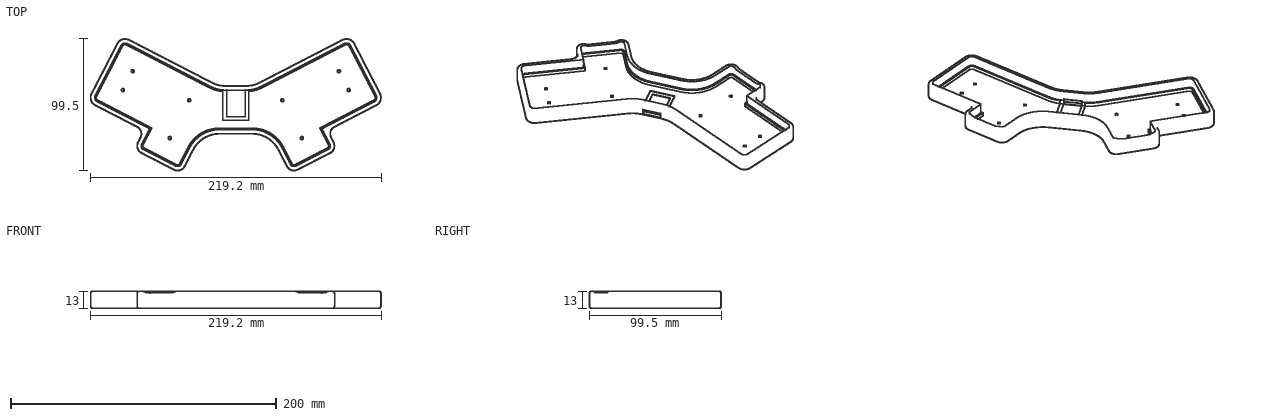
import cadquery as cq
import math

height = 13.0
wall = 3.2
floor_thickness = 2.5
shelf_width = 1.1
shelf_height = 2.7
outer_edge_round = 1.7

wing_tilt = 27.3
cell = 16.0
wing_columns = 5
wing_rows = 3
thumb_first_column = 3
margin = 3.83
grid_u = -96.75
grid_v = 2.76

neck_back_y = 14.18
neck_front_y = -22.04
neck_round = 22.0
corner_round = 6.6
thumb_round = 6.0

hole_diameter = 2.0
hole_crossings = [(1, 1), (1, 2), (4, 1), (4, 3)]

bay_width = 14.0
bay_front_y = -9.2
bay_depth = 1.0
ledge = 2.65
ledge_depth = 0.5
opening_width = 14.0
opening_base = 2.0
opening_top = 6.0

dip_depth = 1.35
dip_flat_half = 9.0
dip_half = 15.5

tilt = math.radians(wing_tilt)
overshoot = 1.0
touch_tolerance = 0.01


def wing_to_part(u, v):
    """Left-wing (u, v) as part (x, y)."""
    x = u * math.cos(tilt) + v * math.sin(tilt)
    y = v * math.cos(tilt) - u * math.sin(tilt)
    return x, y


def mirrored(points):
    return [(-x, y) for x, y in reversed(points)]


def round_corners(prism, corners, radius, mid_z):
    """Round the upright edges at the given corners and at their mirror images."""
    if radius == 0:
        return prism
    for x, y in corners + mirrored(corners):
        nearest = cq.selectors.NearestToPointSelector((x, y, mid_z))
        prism = prism.edges(nearest).fillet(radius)
    return prism


def outline(inset, notch_round, base, top):
    """Prism of the two-wing outline, moved inwards by inset, with its corners rounded."""
    left = grid_u - margin + inset
    right = grid_u + wing_columns * cell + margin - inset
    thumb_left = grid_u + thumb_first_column * cell - margin + inset
    upper = grid_v + margin - inset
    lower = grid_v - wing_rows * cell - margin + inset
    thumb_lower = lower - cell
    back_y = neck_back_y - inset
    front_y = neck_front_y + inset

    outer_corners = [wing_to_part(left, upper), wing_to_part(left, lower)]
    notch = wing_to_part(thumb_left, lower)
    thumb_corners = [wing_to_part(thumb_left, thumb_lower), wing_to_part(right, thumb_lower)]
    back_u = (upper * math.cos(tilt) - back_y) / math.sin(tilt)
    back = wing_to_part(back_u, upper)
    front_v = (front_y + right * math.sin(tilt)) / math.cos(tilt)
    front = wing_to_part(right, front_v)

    half = [back] + outer_corners + [notch] + thumb_corners + [front]
    prism = cq.Workplane("XY").workplane(offset=base)
    prism = prism.polyline(half + mirrored(half)).close().extrude(top - base)

    mid_z = (base + top) / 2
    prism = round_corners(prism, outer_corners, corner_round - inset, mid_z)
    prism = round_corners(prism, thumb_corners, thumb_round - inset, mid_z)
    prism = round_corners(prism, [notch], notch_round, mid_z)
    return round_corners(prism, [back, front], neck_round + inset, mid_z)


def dip_cutter():
    """Shallow trough with S-shaped ends, across the left wing's thumb wall."""
    mid_u = grid_u + (thumb_first_column + wing_columns) * cell / 2
    edge_v = grid_v - (wing_rows + 1) * cell - margin
    bottom = height - dip_depth
    bend_u = (dip_flat_half + dip_half) / 2
    bend_z = height - dip_depth / 2
    trough = (
        cq.Workplane("XZ")
        .moveTo(-dip_half - overshoot, height)
        .lineTo(-dip_half, height)
        .tangentArcPoint((-bend_u, bend_z), relative=False)
        .tangentArcPoint((-dip_flat_half, bottom), relative=False)
        .lineTo(dip_flat_half, bottom)
        .tangentArcPoint((bend_u, bend_z), relative=False)
        .tangentArcPoint((dip_half, height), relative=False)
        .lineTo(dip_half + overshoot, height)
        .lineTo(dip_half + overshoot, height + overshoot)
        .lineTo(-dip_half - overshoot, height + overshoot)
        .close()
        .extrude(-(wall + 2 * overshoot))
    )
    x, y = wing_to_part(mid_u, edge_v - overshoot)
    return trough.rotate((0, 0, 0), (0, 0, 1), -wing_tilt).translate((x, y, 0))


def both_wings(shape):
    return shape.union(shape.mirror("YZ"))


def tray():
    """Open tray with a shelf around its floor, dipped thumb rims and rounded outer edges."""
    shelf_z = floor_thickness + shelf_height
    blank = outline(0, thumb_round, 0, height)
    cavity = outline(wall, 0, shelf_z, height + overshoot)
    cavity = cavity.union(outline(wall + shelf_width, 0, floor_thickness, shelf_z))
    hollow = blank.cut(cavity).cut(both_wings(dip_cutter()))

    sides = cq.Compound.makeCompound(blank.faces("not |Z").vals())

    def on_outer_side(edge):
        middle = cq.Vertex.makeVertex(*edge.positionAt(0.5).toTuple())
        return sides.distance(middle) < touch_tolerance

    return hollow.edges("not |Z").filter(on_outer_side).fillet(outer_edge_round)


def box(width, front_y, back_y, base, top):
    size = (width, back_y - front_y, top - base)
    block = cq.Workplane("XY").box(*size, centered=(True, False, False))
    return block.translate((0, front_y, base))


def cut_connector_bay(body):
    """Stepped bay in the neck floor and the opening behind it."""
    inner_back_y = neck_back_y - wall
    clear_z = floor_thickness + shelf_height
    ledge_z = floor_thickness - ledge_depth
    bay_z = floor_thickness - bay_depth
    body = body.cut(box(bay_width + 2 * ledge, bay_front_y - ledge, inner_back_y, ledge_z, clear_z))
    body = body.cut(box(bay_width, bay_front_y, inner_back_y, bay_z, clear_z))
    opening_front_y = inner_back_y - shelf_width
    opening_back_y = neck_back_y + overshoot
    return body.cut(box(opening_width, opening_front_y, opening_back_y, opening_base, opening_top))


def drill_screw_holes(body):
    for column, row in hole_crossings:
        x, y = wing_to_part(grid_u + column * cell, grid_v - row * cell)
        drill = cq.Workplane("XY").pushPoints([(x, y), (-x, y)]).circle(hole_diameter / 2).extrude(height)
        body = body.cut(drill)
    return body


result = drill_screw_holes(cut_connector_bay(tray()))